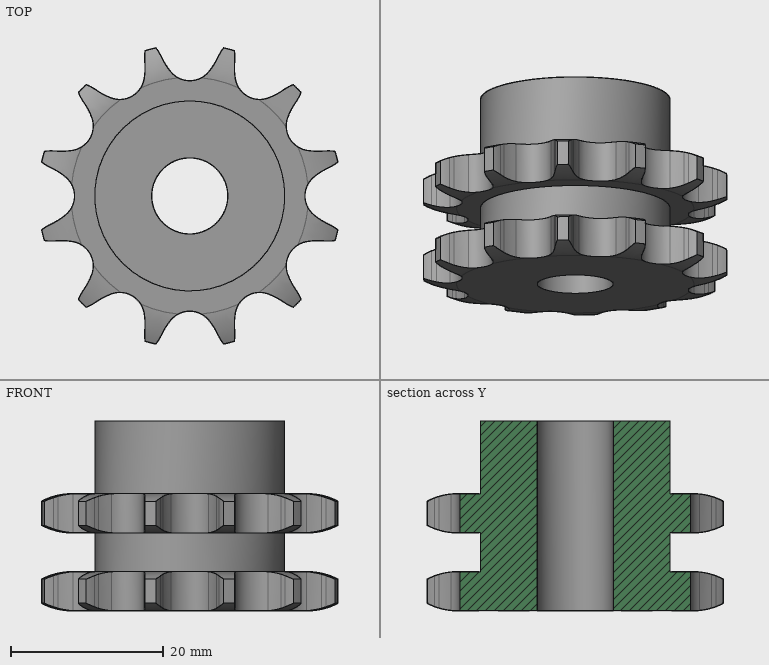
import cadquery as cq
import math


tooth_count = 12
pitch_diameter = 36.8
roller_diameter = 6.35
seat_clearance = 0.05
tip_diameter = 40.0
plate_thickness = 5.2
plate_spacing = 10.25
hub_diameter = 25.0
bore_diameter = 10.0
total_height = 25.0
bevel_radius = 10.0
bevel_drop = 1.0

pitch_radius = pitch_diameter / 2
tip_radius = tip_diameter / 2
bevel_run = math.sqrt(2 * bevel_radius * bevel_drop - bevel_drop**2)
bevel_start_radius = tip_radius - bevel_run

pitch_angle = 2 * math.pi / tooth_count
seat_radius = 0.5025 * roller_diameter + seat_clearance
working_center_offset = 0.8 * roller_diameter
topping_center_offset = 1.4 * roller_diameter
working_radius = seat_radius + working_center_offset
seat_end_angle = math.radians(35 + 60 / tooth_count)
working_sweep = math.radians(18 - 56 / tooth_count)
working_end_angle = seat_end_angle - working_sweep


def polar(center, radius, angle):
    """Point at a distance and direction from a center."""
    return (center[0] + radius * math.cos(angle), center[1] + radius * math.sin(angle))


def rotate(point, angle):
    """Point turned about the sprocket axis."""
    return polar((0, 0), math.hypot(*point), math.atan2(point[1], point[0]) + angle)


def mirror(point):
    """Point reflected across the centerline of the gap that lies on +Y."""
    return (-point[0], point[1])


def flank_points():
    """Right flank of the gap on +Y, from the end of the seating arc out to the tip."""
    roller_center = (0, pitch_radius)
    working_center = polar(roller_center, working_center_offset, math.pi - seat_end_angle)
    topping_center = polar(roller_center, topping_center_offset, -pitch_angle / 2)

    seat_end = polar(roller_center, seat_radius, -seat_end_angle)
    working_middle = polar(working_center, working_radius, -seat_end_angle + working_sweep / 2)
    working_end = polar(working_center, working_radius, -working_end_angle)

    straight_direction = math.pi / 2 - working_end_angle
    straight_length = (
        (topping_center[0] - working_end[0]) * math.cos(straight_direction)
        + (topping_center[1] - working_end[1]) * math.sin(straight_direction)
    )
    straight_end = polar(working_end, straight_length, straight_direction)
    topping_radius = math.dist(topping_center, straight_end)

    center_distance = math.hypot(*topping_center)
    center_direction = math.atan2(topping_center[1], topping_center[0])
    cosine = (center_distance**2 + tip_radius**2 - topping_radius**2) / (2 * center_distance * tip_radius)
    tip = polar((0, 0), tip_radius, center_direction + math.acos(cosine))

    start_angle = math.pi - working_end_angle
    end_angle = math.atan2(tip[1] - topping_center[1], tip[0] - topping_center[0])
    topping_middle = polar(topping_center, topping_radius, (start_angle + end_angle) / 2)
    return seat_end, working_middle, working_end, straight_end, topping_middle, tip


def tooth_outline():
    """Closed outline of the toothed wheel, with a gap centered on +Y."""
    seat_end, working_middle, working_end, straight_end, topping_middle, tip = flank_points()
    seat_bottom = (0, pitch_radius - seat_radius)
    tip_middle = polar((0, 0), tip_radius, math.pi / 2 - pitch_angle / 2)

    outline = cq.Workplane("XY").moveTo(*mirror(tip))
    for index in range(tooth_count):
        turn = -index * pitch_angle
        outline = (
            outline
            .threePointArc(rotate(mirror(topping_middle), turn), rotate(mirror(straight_end), turn))
            .lineTo(*rotate(mirror(working_end), turn))
            .threePointArc(rotate(mirror(working_middle), turn), rotate(mirror(seat_end), turn))
            .threePointArc(rotate(seat_bottom, turn), rotate(seat_end, turn))
            .threePointArc(rotate(working_middle, turn), rotate(working_end, turn))
            .lineTo(*rotate(straight_end, turn))
            .threePointArc(rotate(topping_middle, turn), rotate(tip, turn))
            .threePointArc(rotate(tip_middle, turn), rotate(mirror(tip), turn - pitch_angle))
        )
    return outline.close()


def crowned_disc():
    """Disc whose two faces curve towards each other near the tip circle."""
    bevel_middle_angle = math.pi / 2 - math.asin(bevel_run / bevel_radius) / 2
    lower_middle = polar((bevel_start_radius, bevel_radius), bevel_radius, -bevel_middle_angle)
    upper_middle = (lower_middle[0], plate_thickness - lower_middle[1])
    return (
        cq.Workplane("XZ")
        .lineTo(bevel_start_radius, 0)
        .threePointArc(lower_middle, (tip_radius, bevel_drop))
        .lineTo(tip_radius, plate_thickness - bevel_drop)
        .threePointArc(upper_middle, (bevel_start_radius, plate_thickness))
        .lineTo(0, plate_thickness)
        .close()
        .revolve(360, (0, 0), (0, 1))
    )


toothed_plate = tooth_outline().extrude(plate_thickness).intersect(crowned_disc())

body = cq.Workplane("XY").circle(hub_diameter / 2).extrude(total_height)
for plate_height in (0, plate_spacing):
    body = body.union(toothed_plate.translate((0, 0, plate_height)))

bore = cq.Workplane("XY").circle(bore_diameter / 2).extrude(total_height)
result = body.cut(bore)